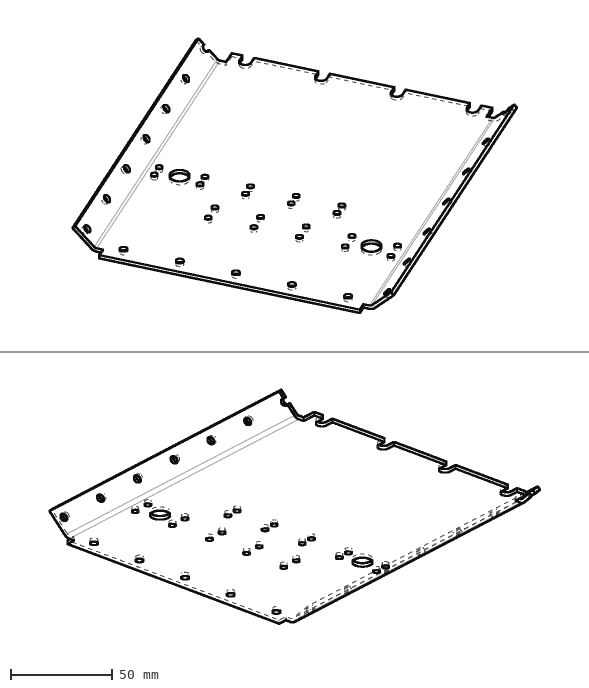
import cadquery as cq
import math


overall_width = 169.0
overall_length = 188.0
overall_height = 12.6

thickness = 2.0
bend_angle = math.radians(45)
inner_bend_radius = 1.9
outer_bend_radius = inner_bend_radius + thickness

tab_width = 137.0
front_tab_length = 5.0
back_tab_length = 8.0
flange_length = overall_length - front_tab_length - back_tab_length

slot_count = 4
slot_pitch = 39.9
slot_width = 6.0
slot_depth = 7.5

front_hole_count = 5
front_hole_pitch = 29.5
front_hole_y = 9.0
front_hole_diameter = 4.0

pair_count = 5
pair_row_length = 96.0
pair_pitch = pair_row_length / (pair_count - 1)
pair_hole_diameter = 3.4
large_hole_diameter = 10.0
left_group_x = -67.5
left_group_y = 78.8
left_pair_spacing = 7.0
right_group_x = 66.5
right_group_y = 54.1
right_pair_spacing = 9.5

flange_hole_count = 7
flange_hole_pitch = 28.0
flange_hole_front_margin = 5.8
flange_hole_x = 78.8
flange_hole_diameter = 4.0

sin_bend = math.sin(bend_angle)
cos_bend = math.cos(bend_angle)
lower_tip = (overall_width / 2, overall_height - thickness * cos_bend)
upper_tip = (overall_width / 2 - thickness * sin_bend, overall_height)
bend_center_z = thickness + inner_bend_radius
inner_bend_end_z = bend_center_z - inner_bend_radius * cos_bend
flange_run = (overall_height - inner_bend_end_z) / math.tan(bend_angle)
bend_start_x = upper_tip[0] - flange_run - inner_bend_radius * sin_bend


def bend_point(radius, angle):
    """Point on a bend arc, with the angle measured from the flat panel."""
    return (
        bend_start_x + radius * math.sin(angle),
        bend_center_z - radius * math.cos(angle),
    )


def centered_row(count, pitch, y):
    return [((i - (count - 1) / 2) * pitch, y) for i in range(count)]


def make_bent_sheet():
    half_section = (
        cq.Workplane("XZ")
        .lineTo(*bend_point(outer_bend_radius, 0))
        .threePointArc(
            bend_point(outer_bend_radius, bend_angle / 2),
            bend_point(outer_bend_radius, bend_angle),
        )
        .lineTo(*lower_tip)
        .lineTo(*upper_tip)
        .lineTo(*bend_point(inner_bend_radius, bend_angle))
        .threePointArc(
            bend_point(inner_bend_radius, bend_angle / 2),
            bend_point(inner_bend_radius, 0),
        )
        .lineTo(0, thickness)
        .close()
        .extrude(-flange_length)
        .translate((0, front_tab_length, 0))
    )
    tabs = cq.Workplane("XY").box(
        tab_width, overall_length, thickness, centered=(True, False, False)
    )
    return tabs.union(half_section).union(half_section.mirror("YZ"))


def panel_holes(points, diameter):
    return cq.Workplane("XY").pushPoints(points).circle(diameter / 2).extrude(thickness)


def back_slots():
    slot_round_y = overall_length - slot_depth + slot_width / 2
    rounds = panel_holes(centered_row(slot_count, slot_pitch, slot_round_y), slot_width)
    straight_length = overall_length - slot_round_y
    straight_y = slot_round_y + straight_length / 2
    straights = (
        cq.Workplane("XY")
        .pushPoints(centered_row(slot_count, slot_pitch, straight_y))
        .rect(slot_width, straight_length)
        .extrude(thickness)
    )
    return rounds.union(straights)


def pair_group(outer_x, center_y, spacing, inward):
    """Pairs stepping inward from outer_x, with the large hole amid the two outermost pairs."""
    pairs = [
        (outer_x + inward * i * pair_pitch, center_y + side * spacing / 2)
        for i in range(pair_count)
        for side in (-1, 1)
    ]
    large_center = (outer_x + inward * pair_pitch / 2, center_y)
    small_holes = panel_holes(pairs, pair_hole_diameter)
    return small_holes.union(panel_holes([large_center], large_hole_diameter))


def flange_holes(side):
    """Holes square to one flange; side is -1 for the left flange and 1 for the right."""
    upper_face_z = upper_tip[1] - (upper_tip[0] - flange_hole_x) * math.tan(bend_angle)
    into_sheet = cq.Vector(side * sin_bend, 0, -cos_bend)
    first_y = front_tab_length + flange_hole_front_margin
    cutters = cq.Workplane("XY")
    for i in range(flange_hole_count):
        hole_y = first_y + i * flange_hole_pitch
        face_center = cq.Vector(side * flange_hole_x, hole_y, upper_face_z)
        start = face_center - into_sheet * thickness
        cutters = cutters.add(
            cq.Solid.makeCylinder(flange_hole_diameter / 2, 3 * thickness, start, into_sheet)
        )
    return cutters.combine()


front_row = centered_row(front_hole_count, front_hole_pitch, front_hole_y)

result = (
    make_bent_sheet()
    .cut(back_slots())
    .cut(panel_holes(front_row, front_hole_diameter))
    .cut(pair_group(left_group_x, left_group_y, left_pair_spacing, 1))
    .cut(pair_group(right_group_x, right_group_y, right_pair_spacing, -1))
    .cut(flange_holes(-1))
    .cut(flange_holes(1))
)